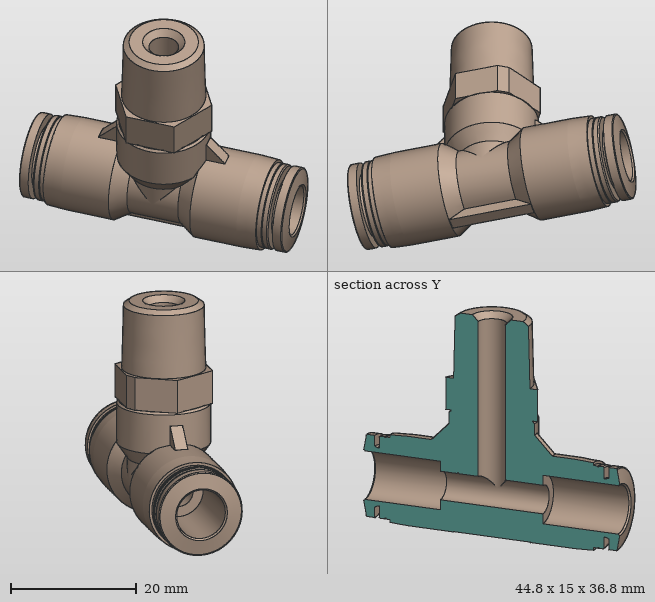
import cadquery as cq
import math

half_length = 22.4
body_radius = 15.0 / 2
body_lip_radius = 7.35
core_radius = 5.82
body_inner_x = 6.8
core_end_x = 4.25
body_taper_x = 14.65
body_end_x = 17.8

collar_radius = 13.8 / 2
collar_groove_radius = 6.75
collar_groove_inner_x = 18.55
collar_groove_outer_x = 18.7
collar_bevel_radius = 6.7
collar_bevel_x = 19.45
collar_end_x = 19.65
neck_radius = 9.8 / 2
neck_taper_x = 19.95
neck_outer_radius = 5.1
flange_inner_x = 20.45
flange_rim_x = 21.8
flange_face_x = 21.95
flange_face_radius = 6.7

top_z = 36.8 - body_radius
boss_cone_bottom_z = 3.5
boss_bottom_z = 5.95
boss_bevel = 0.35
hex_bottom_z = 12.8
hex_top_z = 18.25
hex_across_flats = 13.95
hex_corner_cut = 1.1
thread_base_radius = 6.7
thread_top_radius = 6.45
thread_tip_radius = 5.5
thread_bevel_z = top_z - 0.65

rib_width = 2.05
rib_half_width = rib_width / 2
gusset_size = 3.1
rib_bottom_z = -math.sqrt(body_radius**2 - rib_half_width**2)

bore_radius = 4.7 / 2
socket_radius = 8.0 / 2
socket_depth = 13.45
socket_mouth_radius = 8.55 / 2
socket_bevel = socket_mouth_radius - socket_radius
countersink_radius = 6.7 / 2
countersink_depth = countersink_radius - bore_radius


def make_run():
    """Revolve one half of the horizontal run about X, then mirror it."""
    half = (
        cq.Workplane("XZ")
        .polyline([
            (0, 0),
            (0, core_radius),
            (core_end_x, core_radius),
            (body_inner_x, body_radius),
            (body_taper_x, body_radius),
            (body_end_x, body_lip_radius),
            (body_end_x, collar_radius),
            (collar_groove_inner_x, collar_radius),
            (collar_groove_inner_x, collar_groove_radius),
            (collar_groove_outer_x, collar_groove_radius),
            (collar_groove_outer_x, collar_radius),
            (collar_bevel_x, collar_radius),
            (collar_end_x, collar_bevel_radius),
            (collar_end_x, neck_radius),
            (neck_taper_x, neck_radius),
            (flange_inner_x, neck_outer_radius),
            (flange_inner_x, collar_radius),
            (flange_rim_x, collar_radius),
            (flange_face_x, flange_face_radius),
            (half_length, socket_mouth_radius),
            (half_length, 0),
        ])
        .close()
        .revolve(360, (0, 0), (1, 0))
    )
    return half.union(half.mirror("YZ"))


def make_branch():
    """Revolve the stem, boss and tapered thread about Z."""
    return (
        cq.Workplane("XZ")
        .polyline([
            (0, 0),
            (core_radius, 0),
            (core_radius, boss_cone_bottom_z),
            (body_radius, boss_bottom_z),
            (body_radius, hex_bottom_z - boss_bevel),
            (body_radius - boss_bevel, hex_bottom_z),
            (thread_base_radius, hex_bottom_z),
            (thread_base_radius, hex_top_z),
            (thread_top_radius, thread_bevel_z),
            (thread_tip_radius, top_z),
            (0, top_z),
        ])
        .close()
        .revolve(360, (0, 0), (0, 1))
    )


def make_hex():
    """Hexagon with corners on X; its rear left corner is cut off."""
    corner_diameter = hex_across_flats / math.cos(math.pi / 6)
    return (
        cq.Workplane("XY")
        .workplane(offset=hex_bottom_z)
        .polygon(6, corner_diameter)
        .extrude(hex_top_z - hex_bottom_z)
        .edges("|Z")
        .edges("<(1, -2, 0)")
        .chamfer(hex_corner_cut)
    )


def make_ribs():
    """Triangular gussets beside the boss and a straight rib under the core."""
    gusset_x = body_radius + gusset_size
    gussets = (
        cq.Workplane("XZ")
        .polyline([
            (-gusset_x, body_radius),
            (-body_radius, body_radius + gusset_size),
            (body_radius, body_radius + gusset_size),
            (gusset_x, body_radius),
            (body_radius, 0),
            (-body_radius, 0),
        ])
        .close()
        .extrude(rib_half_width, both=True)
    )
    bottom_rib = cq.Workplane("XY").box(
        2 * body_inner_x, rib_width, -rib_bottom_z, centered=(True, True, False)
    ).translate((0, 0, rib_bottom_z))
    return gussets.union(bottom_rib)


def make_socket():
    """Cutter for the bevelled tube socket at the +X end."""
    return (
        cq.Workplane("XZ")
        .polyline([
            (half_length - socket_depth, 0),
            (half_length - socket_depth, socket_radius),
            (half_length - socket_bevel, socket_radius),
            (half_length, socket_mouth_radius),
            (half_length, 0),
        ])
        .close()
        .revolve(360, (0, 0), (1, 0))
    )


def make_branch_bore():
    """Cutter from the run's axis up to the countersunk top of the branch."""
    return (
        cq.Workplane("XZ")
        .polyline([
            (0, 0),
            (bore_radius, 0),
            (bore_radius, top_z - countersink_depth),
            (countersink_radius, top_z),
            (0, top_z),
        ])
        .close()
        .revolve(360, (0, 0), (0, 1))
    )


run_bore = cq.Workplane("YZ").circle(bore_radius).extrude(half_length, both=True)
socket = make_socket()

result = make_run().union(make_branch()).union(make_hex()).union(make_ribs())
for cutter in (run_bore, socket, socket.mirror("YZ"), make_branch_bore()):
    result = result.cut(cutter)